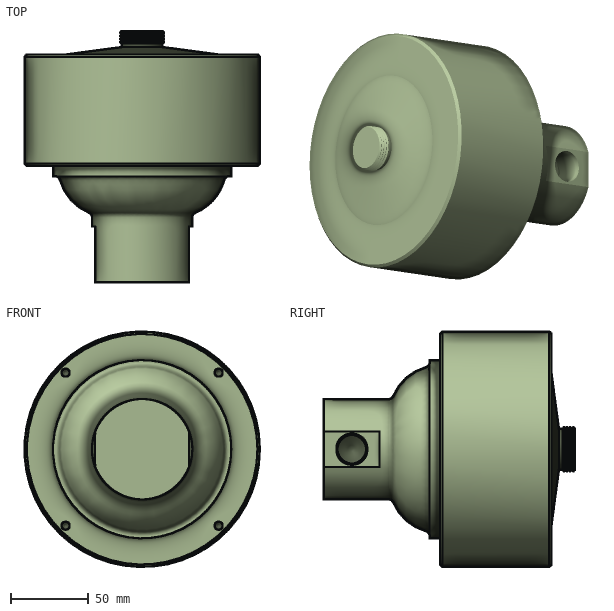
import cadquery as cq
import math


drum_radius = 76.2
drum_length = 72.3
drum_chamfer = 1.6

cover_base_radius = 48.8
cover_height = 4.7
neck_radius = 13.3
thread_crest_radius = 14.3
thread_length = 8.0
thread_turns = 4
thread_pitch = thread_length / thread_turns

collar_radius = 57.7
collar_length = 6.7
dome_arc_radius = 32.8
dome_arc_center_radius = 21.6

shaft_radius = 32.5
shaft_tip = 75.3
blend_radius = 3.0
rim_margin = 0.2

flat_distance = 30.4
flat_length = 36.1
cross_hole_radius = 10.0
cross_hole_depth = 19.5
cross_hole_ledge = 0.8
cross_hole_from_tip = 18.2

bolt_circle_radius = 70.0
bolt_hole_radius = 2.6
bolt_hole_depth = 13.0
bolt_hole_count = 4

drill_point_angle = 118.0
total_length = 162.5

rear_end = total_length - shaft_tip
cover_top = drum_length + cover_height


def dome_point(radius):
    """Point (radius, y) of the dome arc at a given distance from the Y axis."""
    return radius, -math.sqrt(dome_arc_radius**2 - (radius - dome_arc_center_radius) ** 2)


def drill(radius, depth, ledge=0.0):
    """Blind hole from the origin toward +Z; its conical point starts a ledge's width inside the wall."""
    point_radius = radius - ledge
    point_length = point_radius / math.tan(math.radians(drill_point_angle / 2))
    outline = [(0, 0), (radius, 0), (radius, depth)]
    if ledge > 0:
        outline.append((point_radius, depth))
    outline.append((0, depth + point_length))
    return cq.Workplane("XZ").polyline(outline).close().revolve(360, (0, 0), (0, 1))


def make_drum():
    drum = cq.Workplane("XZ").circle(drum_radius).extrude(-drum_length)
    return drum.edges().chamfer(drum_chamfer)


def make_rear_neck():
    """Cone on the drum's rear face with a neck that carries V-shaped thread ridges."""
    profile = cq.Workplane("XY").moveTo(0, drum_length - drum_chamfer)
    profile = profile.lineTo(cover_base_radius, drum_length - drum_chamfer)
    profile = profile.lineTo(cover_base_radius, drum_length)
    profile = profile.lineTo(neck_radius, cover_top)
    thread_start = rear_end - thread_length
    profile = profile.lineTo(neck_radius, thread_start)
    for turn in range(thread_turns):
        root = thread_start + turn * thread_pitch
        profile = profile.lineTo(thread_crest_radius, root + thread_pitch / 2)
        profile = profile.lineTo(neck_radius, root + thread_pitch)
    return profile.lineTo(0, rear_end).close().revolve(360, (0, 0), (0, 1))


def make_front():
    """Collar, dome and shaft, with the dome blended into both neighbours."""
    dome_outer_radius = dome_arc_center_radius + math.sqrt(dome_arc_radius**2 - collar_length**2)
    middle_radius = (dome_outer_radius + shaft_radius) / 2
    dome_end = dome_point(shaft_radius)
    front = (
        cq.Workplane("XY")
        .moveTo(0, drum_chamfer)
        .lineTo(collar_radius, drum_chamfer)
        .lineTo(collar_radius, -collar_length)
        .lineTo(dome_outer_radius, -collar_length)
        .threePointArc(dome_point(middle_radius), dome_end)
        .lineTo(shaft_radius, -shaft_tip)
        .lineTo(0, -shaft_tip)
        .close()
        .revolve(360, (0, 0), (0, 1))
    )
    for rim_radius, rim_y in ((dome_outer_radius, -collar_length), dome_end):
        reach = rim_radius + rim_margin
        near_rim = cq.selectors.BoxSelector(
            (-reach, rim_y - rim_margin, -reach),
            (reach, rim_y + rim_margin, reach),
            boundingbox=True,
        )
        front = front.edges(near_rim).fillet(blend_radius)
    return front


def cut_flats_and_cross_holes(part):
    hole_y = cross_hole_from_tip - shaft_tip
    flat_depth = shaft_radius - flat_distance
    for side in (-1, 1):
        flat = cq.Workplane("XY").box(flat_depth, flat_length, 2 * shaft_radius)
        flat = flat.translate((side * (flat_distance + flat_depth / 2), flat_length / 2 - shaft_tip, 0))
        hole = drill(cross_hole_radius, cross_hole_depth, cross_hole_ledge)
        hole = hole.rotate((0, 0, 0), (0, 1, 0), -90 * side)
        part = part.cut(flat).cut(hole.translate((side * flat_distance, hole_y, 0)))
    return part


def cut_bolt_holes(part):
    hole = drill(bolt_hole_radius, bolt_hole_depth).rotate((0, 0, 0), (1, 0, 0), -90)
    hole = hole.translate((bolt_circle_radius, 0, 0))
    for index in range(bolt_hole_count):
        angle = 360 / bolt_hole_count * (index + 0.5)
        part = part.cut(hole.rotate((0, 0, 0), (0, 1, 0), angle))
    return part


body = make_drum().union(make_rear_neck()).union(make_front())
body = cut_flats_and_cross_holes(body)
result = cut_bolt_holes(body)